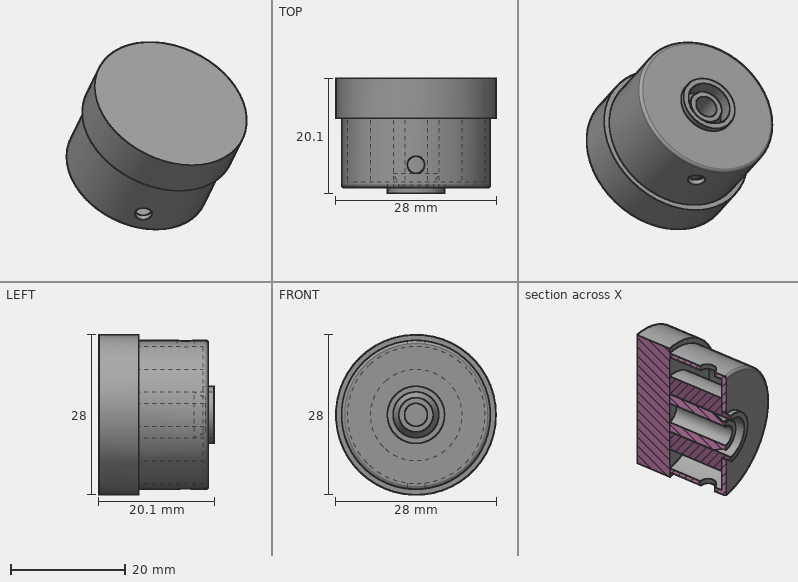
import cadquery as cq

cap_diameter = 28.0
total_length = 20.13
cap_length = 7.0

housing_diameter = 26.0
wall = 1.0
edge_radius = 0.5
vent_diameter = 3.0
vent_setback = 5.0

barrel_diameter = 16.0
neck_diameter = 10.0
neck_projection = 1.0

tube_diameter = 8.0
tip_diameter = 6.0
tube_bore = 4.0
tip_recess = 1.15
tip_length = 0.4
taper_length = 2.0

rim_y = -total_length / 2
housing_front_y = rim_y + neck_projection
cavity_front_y = housing_front_y + wall
tip_y = rim_y + tip_recess
taper_front_y = tip_y + tip_length
taper_back_y = taper_front_y + taper_length
back_y = total_length / 2
cap_front_y = back_y - cap_length


def rod(diameter, start_y, end_y):
    """Solid cylinder on the Y axis, from start_y to end_y."""
    plane = cq.Workplane("XZ", origin=(0, start_y, 0))
    return plane.circle(diameter / 2).extrude(start_y - end_y)


def make_housing():
    """Cup with a rounded front edge, a hole for the neck and two opposite vents."""
    shell = rod(housing_diameter, housing_front_y, cap_front_y).faces("<Y").edges().fillet(edge_radius)
    cavity = rod(housing_diameter - 2 * wall, cavity_front_y, cap_front_y)
    neck_hole = rod(neck_diameter, housing_front_y, cavity_front_y)
    vents = (
        cq.Workplane("XY", origin=(0, rim_y + vent_setback, 0))
        .circle(vent_diameter / 2)
        .extrude(housing_diameter / 2, both=True)
    )
    return shell.cut(cavity).cut(neck_hole).cut(vents)


def make_cap():
    """Plain disc that closes the back of the housing."""
    return rod(cap_diameter, cap_front_y, back_y)


def make_bushing():
    """Barrel filling the length of the cavity, with a neck and one straight bore."""
    barrel = rod(barrel_diameter, cavity_front_y, cap_front_y)
    neck = rod(neck_diameter, rim_y, cavity_front_y)
    bore = rod(tube_diameter, rim_y, cap_front_y)
    return barrel.union(neck).cut(bore)


def make_tube():
    """Hollow tube with a tapered nose, seated on the cap: half profile revolved about Y."""
    profile = (
        cq.Workplane("XY")
        .moveTo(tube_bore / 2, tip_y)
        .lineTo(tip_diameter / 2, tip_y)
        .lineTo(tip_diameter / 2, taper_front_y)
        .lineTo(tube_diameter / 2, taper_back_y)
        .lineTo(tube_diameter / 2, cap_front_y)
        .lineTo(tube_bore / 2, cap_front_y)
        .close()
    )
    return profile.revolve(360, (0, 0, 0), (0, 1, 0))


housing = make_housing()
cap = make_cap()
bushing = make_bushing()
tube = make_tube()

result = cq.Compound.makeCompound([housing.val(), cap.val(), bushing.val(), tube.val()])